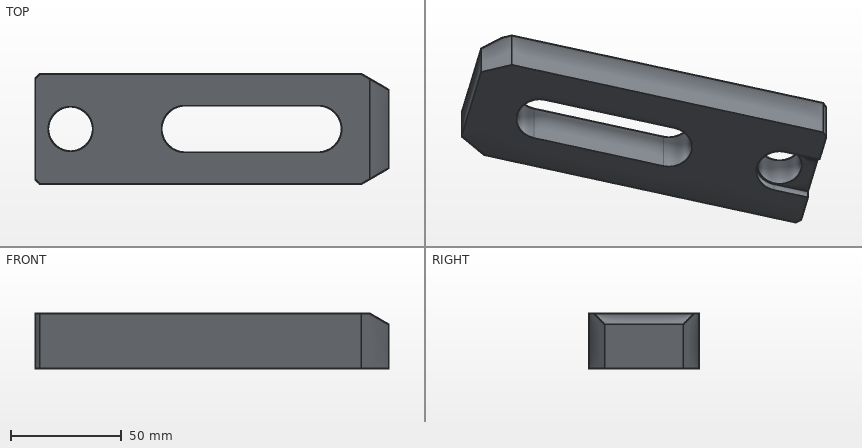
import cadquery as cq
import math

length = 160.0
width = 50.0
height = 25.0

rear_chamfer = 2.0
nose_angle = math.radians(30)
nose_side_length = 12.5
nose_top_length = 8.6

hole_diameter = 20.0
hole_x = 16.0
slot_width = 21.0
slot_start = 57.3
slot_end = 138.5
groove_width = slot_width
groove_depth = 5.0


def make_body():
    """Clamp bar with bevelled rear corners and a tapered nose."""
    half_width = width / 2
    nose_half_width = half_width - nose_side_length * math.tan(nose_angle)
    upper_outline = [
        (0, half_width - rear_chamfer),
        (rear_chamfer, half_width),
        (length - nose_side_length, half_width),
        (length, nose_half_width),
    ]
    lower_outline = [(x, -y) for x, y in reversed(upper_outline)]
    return cq.Workplane("XY").polyline(upper_outline + lower_outline).close().extrude(height)


def make_nose_wedge():
    """Material removed by the slope on top of the nose."""
    drop = nose_top_length * math.tan(nose_angle)
    corners = [(length - nose_top_length, height), (length, height), (length, height - drop)]
    return cq.Workplane("XZ").polyline(corners).close().extrude(width / 2, both=True)


def make_hole():
    return cq.Workplane("XY").center(hole_x, 0).circle(hole_diameter / 2).extrude(height)


def make_slot():
    """Long through slot with round ends."""
    slot_middle = (slot_start + slot_end) / 2
    return cq.Workplane("XY").center(slot_middle, 0).slot2D(slot_end - slot_start, slot_width).extrude(height)


def make_groove():
    """Shallow channel under the rear end, closed by a round end concentric with the hole."""
    channel = cq.Workplane("XY").box(hole_x, groove_width, groove_depth, centered=(False, True, False))
    round_end = cq.Workplane("XY").center(hole_x, 0).circle(groove_width / 2).extrude(groove_depth)
    return channel.union(round_end)


result = (
    make_body()
    .cut(make_nose_wedge())
    .cut(make_hole())
    .cut(make_slot())
    .cut(make_groove())
)